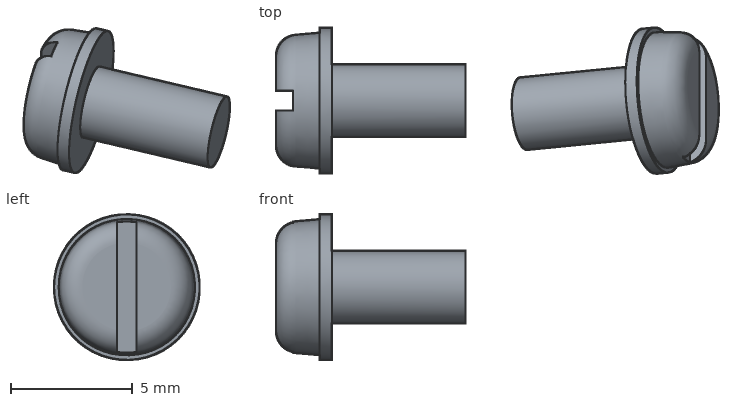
import cadquery as cq
import math

total_length = 7.8
head_height = 1.8
head_base_diameter = 5.6
head_draft = 5.0
head_edge_radius = 0.9
shank_diameter = 3.0
slot_width = 0.8
slot_depth = 0.7
washer_diameter = 6.0
washer_thickness = 0.5

head_base_radius = head_base_diameter / 2
shank_radius = shank_diameter / 2

draft = math.radians(head_draft)
edge_end_x = head_edge_radius * (1 - math.sin(draft))
edge_end_radius = head_base_radius - (head_height - edge_end_x) * math.tan(draft)
face_radius = edge_end_radius - head_edge_radius * math.cos(draft)

half_sweep = (math.pi / 2 - draft) / 2
edge_mid_x = head_edge_radius * (1 - math.cos(half_sweep))
edge_mid_radius = face_radius + head_edge_radius * math.sin(half_sweep)


def make_screw():
    """Pan head with a straight shank and a driver slot along Z."""
    blank = (
        cq.Workplane("XY")
        .moveTo(0, 0)
        .lineTo(0, face_radius)
        .threePointArc((edge_mid_x, edge_mid_radius), (edge_end_x, edge_end_radius))
        .lineTo(head_height, head_base_radius)
        .lineTo(head_height, shank_radius)
        .lineTo(total_length, shank_radius)
        .lineTo(total_length, 0)
        .close()
        .revolve(360, (0, 0, 0), (1, 0, 0))
    )
    slot = cq.Workplane("XY").box(
        slot_depth, slot_width, head_base_diameter, centered=(False, True, True)
    )
    return blank.cut(slot)


def make_washer():
    """Flat ring on the shank, seated against the underside of the head."""
    return (
        cq.Workplane("YZ", origin=(head_height, 0, 0))
        .circle(washer_diameter / 2)
        .circle(shank_radius)
        .extrude(washer_thickness)
    )


screw = make_screw()
washer = make_washer()

result = cq.Compound.makeCompound([screw.val(), washer.val()])